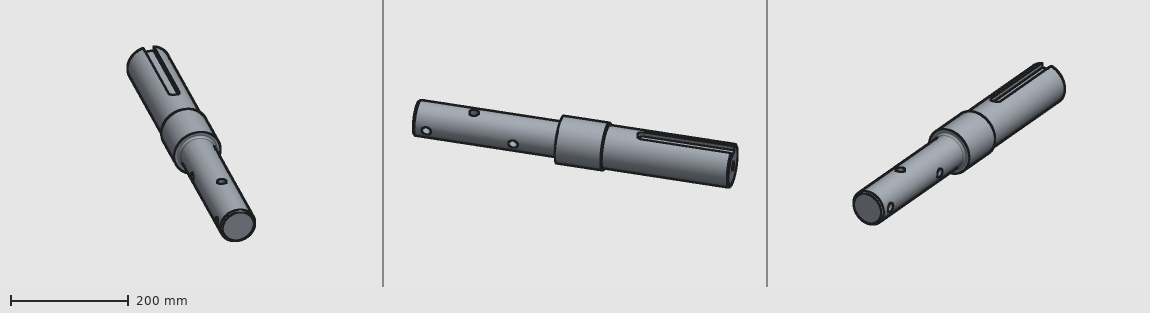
import cadquery as cq

length = 553.0
keyed_radius = 37.5
collar_radius = 41.2
drilled_radius = 31.0
collar_start = 220.5
collar_end = 302.0

keyed_chamfer_length = 2.0
keyed_chamfer_depth = 3.5
drilled_chamfer = 3.5
collar_chamfer = 1.5
shoulder_fillet = 4.0

key_width = 19.0
key_end = 167.0
key_floor = 27.0

cross_hole_diameter = 16.0
side_hole_positions = (377.0, 529.0)
vertical_hole_position = 452.5
bore_diameter = 15.0


def shaft_body():
    """Revolve the half profile about the X axis."""
    profile = (
        cq.Workplane("XY")
        .moveTo(0, 0)
        .lineTo(0, keyed_radius - keyed_chamfer_depth)
        .lineTo(keyed_chamfer_length, keyed_radius)
        .lineTo(collar_start, keyed_radius)
        .lineTo(collar_start, collar_radius - collar_chamfer)
        .lineTo(collar_start + collar_chamfer, collar_radius)
        .lineTo(collar_end, collar_radius)
        .lineTo(collar_end, drilled_radius + shoulder_fillet)
        .radiusArc((collar_end + shoulder_fillet, drilled_radius), -shoulder_fillet)
        .lineTo(length - drilled_chamfer, drilled_radius)
        .lineTo(length, drilled_radius - drilled_chamfer)
        .lineTo(length, 0)
        .close()
    )
    return profile.revolve(360, (0, 0, 0), (1, 0, 0))


def keyway():
    """Cutter for the keyway in the top of the keyed journal."""
    height = collar_radius - key_floor
    end_center = key_end - key_width / 2
    floor = cq.Workplane("XY").workplane(offset=key_floor)
    straight = floor.center(end_center / 2, 0).rect(end_center, key_width).extrude(height)
    round_end = floor.center(end_center, 0).circle(key_width / 2).extrude(height)
    return straight.union(round_end)


def cross_hole(plane, position):
    """Cutter for a hole through the full shaft diameter, square to the given plane."""
    return (
        cq.Workplane(plane)
        .center(position, 0)
        .circle(cross_hole_diameter / 2)
        .extrude(collar_radius, both=True)
    )


def axial_bore():
    """Cutter for the bore from the keyed end into the vertical hole."""
    return cq.Workplane("YZ").circle(bore_diameter / 2).extrude(vertical_hole_position)


result = shaft_body().cut(keyway()).cut(axial_bore())
for side_position in side_hole_positions:
    result = result.cut(cross_hole("XZ", side_position))
result = result.cut(cross_hole("XY", vertical_hole_position))